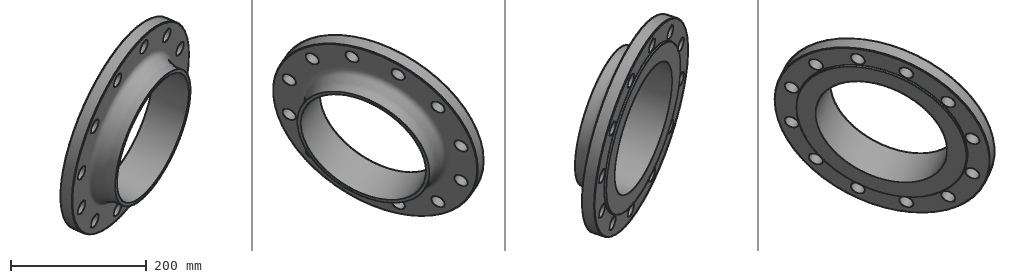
import cadquery as cq

total_length = 62.0
flange_diameter = 340.0
flange_back = 24.0
rim_chamfer = 1.0

face_height = 3.0
face_diameter = 268.0
face_base_diameter = 270.0

bore_diameter = 207.5
neck_diameter = 219.0
neck_length = 16.0
hub_diameter = 234.5
hub_fillet = 10.0

bolt_count = 12
bolt_hole_diameter = 22.0
bolt_circle_diameter = 295.0

hub_end = total_length - neck_length


def flange_body():
    """Revolve the half section; X is axial and Y is radial."""
    rim_radius = flange_diameter / 2
    bore_radius = bore_diameter / 2
    neck_radius = neck_diameter / 2
    section = (
        cq.Workplane("XY")
        .moveTo(0, bore_radius)
        .lineTo(0, face_diameter / 2)
        .lineTo(face_height, face_base_diameter / 2)
        .lineTo(face_height, rim_radius - rim_chamfer)
        .lineTo(face_height + rim_chamfer, rim_radius)
        .lineTo(flange_back - rim_chamfer, rim_radius)
        .lineTo(flange_back, rim_radius - rim_chamfer)
        .lineTo(flange_back, hub_diameter / 2)
        .lineTo(hub_end, neck_radius)
        .lineTo(total_length, neck_radius)
        .lineTo(total_length, bore_radius)
        .close()
    )
    return section.revolve(360, (0, 0, 0), (1, 0, 0))


def round_hub(body):
    """Blend the conical hub into the flange and into the straight neck."""
    margin = 0.5
    hub_edges = cq.selectors.BoxSelector(
        (flange_back - margin, -hub_diameter, -hub_diameter),
        (hub_end + margin, hub_diameter, hub_diameter),
        boundingbox=True,
    )
    circles = body.edges(hub_edges).edges("%CIRCLE")
    hub_circles = circles.filter(lambda edge: edge.radius() <= hub_diameter / 2 + margin)
    return hub_circles.fillet(hub_fillet)


def bolt_holes():
    """Through holes, with the top of the circle midway between two holes."""
    half_pitch = 360 / bolt_count / 2
    return (
        cq.Workplane("YZ")
        .polarArray(bolt_circle_diameter / 2, half_pitch, 360, bolt_count)
        .circle(bolt_hole_diameter / 2)
        .extrude(total_length)
    )


result = round_hub(flange_body()).cut(bolt_holes())